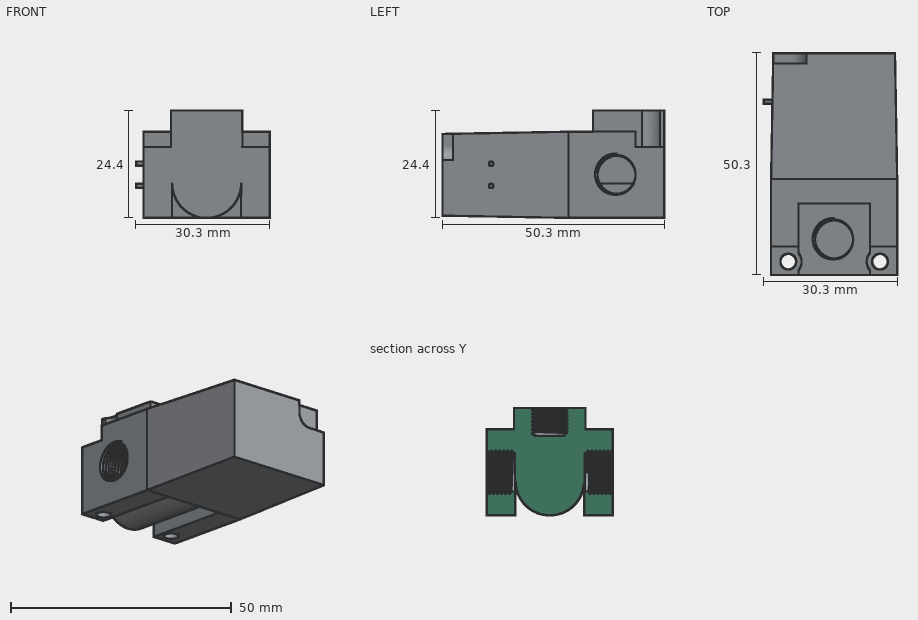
import cadquery as cq
import math


total_width = 30.25
total_length = 50.25
total_height = 24.35
body_width = 28.6
body_length = 21.7
shoulder_height = 19.55
mid_height = shoulder_height / 2

boss_width = 16.25
boss_length = 16.2
ledge_length = 6.55
ledge_height = 16.1
screw_hole_diameter = 3.5
screw_hole_spacing = 20.75
screw_hole_y = 3.05
screw_head_diameter = 6.05

belly_radius = 7.8

port_depth = 6.4
thread_major_diameter = 9.75
thread_minor_diameter = 8.6
thread_pitch = 0.9
thread_turns = 6.5
groove_width = 0.75

cover_length = total_length - body_length
cover_draft = 1.0
notch_length = 2.35
notch_wall_x = -6.25
notch_floor_z = 13.15
notch_radius = 3.05

pin_diameter = 1.0
pin_spacing = 5.0
pin_y = 39.25
pin_tip_x = body_width / 2 - total_width
pin_count = 2


def box(width, length, height, y_start=0.0):
    """Box centred on X, standing on the base plane and starting at the given Y."""
    block = cq.Workplane("XY").box(width, length, height, centered=(True, False, False))
    return block.translate((0, y_start, 0))


def valve_blank():
    """Stepped block: shoulder, two low front ledges and the tall port boss."""
    shoulder = box(body_width, body_length - ledge_length, shoulder_height, y_start=ledge_length)
    ledge = box(body_width, ledge_length, ledge_height)
    boss = box(boss_width, boss_length, total_height)
    return shoulder.union(ledge).union(boss)


def screw_holes(diameter, z_start):
    """Upright cylinders on the two mounting hole axes, reaching the top of the part."""
    return (
        cq.Workplane("XY", origin=(0, screw_hole_y, z_start))
        .rarray(screw_hole_spacing, 0.5, 2, 1)
        .circle(diameter / 2)
        .extrude(total_height - z_start)
    )


def belly_cutter():
    """Material on both sides of the half-round underside, along the full body."""
    slot = box(2 * belly_radius, body_length, belly_radius)
    belly = (
        cq.Workplane("XZ", origin=(0, 0, belly_radius))
        .circle(belly_radius)
        .extrude(-body_length)
    )
    return slot.cut(belly)


def thread_groove():
    """Helical V groove round the Z axis. It crosses Z = 0 on the +X side."""
    root_radius = thread_major_diameter / 2
    crest_radius = thread_minor_diameter / 2
    overlap = 0.1
    inner_radius = crest_radius - overlap
    flank_slope = groove_width / 2 / (root_radius - crest_radius)
    inner_half_width = flank_slope * (root_radius - inner_radius)
    start_z = -thread_turns * thread_pitch
    helix_height = (thread_turns + 1) * thread_pitch
    helix = cq.Wire.makeHelix(thread_pitch, helix_height, crest_radius, cq.Vector(0, 0, start_z))
    groove = (
        cq.Workplane("XZ")
        .moveTo(inner_radius, start_z - inner_half_width)
        .lineTo(root_radius, start_z)
        .lineTo(inner_radius, start_z + inner_half_width)
        .close()
        .sweep(cq.Workplane(helix), isFrenet=True)
    )
    return groove.rotate((0, 0, 0), (0, 0, 1), -360 * thread_turns)


def port_cutters():
    """Thread groove and bore of one port, with its mouth at Z = 0 and opening upwards."""
    bore = cq.Workplane("XY").circle(thread_minor_diameter / 2).extrude(-port_depth)
    return [thread_groove().val(), bore.val()]


def port_planes():
    """Mouths of the top port and the two side ports, with normals pointing outwards."""
    side_y = body_length / 2
    side_x = body_width / 2
    return [
        cq.Plane(origin=(0, boss_length / 2, total_height), xDir=(-1, 0, 0), normal=(0, 0, 1)),
        cq.Plane(origin=(-side_x, side_y, mid_height), xDir=(0, 1, 0), normal=(-1, 0, 0)),
        cq.Plane(origin=(side_x, side_y, mid_height), xDir=(0, -1, 0), normal=(1, 0, 0)),
    ]


def make_valve_body():
    body = valve_blank()
    body = body.cut(screw_holes(screw_hole_diameter, 0))
    body = body.cut(screw_holes(screw_head_diameter, ledge_height))
    body = body.cut(belly_cutter())
    cutters = port_cutters()
    for plane in port_planes():
        for cutter in cutters:
            body = body.cut(cq.Workplane(cutter.moved(plane.location)))
    return body


def notch_cutter():
    """Rear corner notch: flat floor, filleted into an upright wall."""
    outer_x = -body_width / 2
    fillet_centre = (notch_wall_x - notch_radius, notch_floor_z + notch_radius)
    diagonal = notch_radius * math.sqrt(0.5)
    return (
        cq.Workplane("XZ", origin=(0, total_length, 0))
        .moveTo(outer_x, notch_floor_z)
        .lineTo(fillet_centre[0], notch_floor_z)
        .threePointArc(
            (fillet_centre[0] + diagonal, fillet_centre[1] - diagonal),
            (notch_wall_x, fillet_centre[1]),
        )
        .lineTo(notch_wall_x, shoulder_height)
        .lineTo(outer_x, shoulder_height)
        .close()
        .extrude(notch_length)
    )


def make_cover():
    """Block behind the valve body, tapering evenly on all four sides towards the rear."""
    front = cq.Plane(origin=(0, body_length, mid_height), xDir=(1, 0, 0), normal=(0, 1, 0))
    block = cq.Workplane(front).rect(body_width, shoulder_height).extrude(cover_length, taper=cover_draft)
    return block.cut(notch_cutter())


def make_pin(height, cover):
    """Round pin that ends flush against the slanted side of the cover."""
    untrimmed_length = -body_width / 2 + pin_diameter - pin_tip_x
    pin = (
        cq.Workplane("YZ", origin=(pin_tip_x, pin_y, height))
        .circle(pin_diameter / 2)
        .extrude(untrimmed_length)
    )
    return pin.cut(cover)


valve_body = make_valve_body()
cover = make_cover()
pins = []
for index in range(pin_count):
    pin_z = mid_height + (index - (pin_count - 1) / 2) * pin_spacing
    pins.append(make_pin(pin_z, cover))

result = cq.Compound.makeCompound([valve_body.val(), cover.val(), *[pin.val() for pin in pins]])